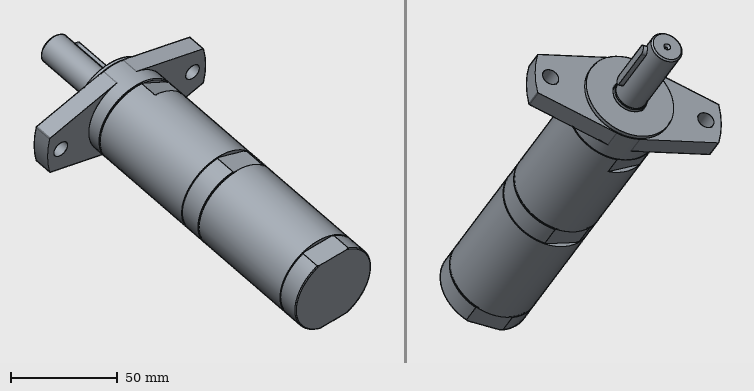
import cadquery as cq
import math


BODY_DIA = 46.0
BODY_RADIUS = BODY_DIA / 2
EDGE_CHAMFER = 0.5

SPIGOT_DIA = BODY_DIA - 2 * EDGE_CHAMFER
COVER_FRONT_X = 42.0
RECESS_DIA = 17.5
RECESS_DEPTH = 1.0
RECESS_END_X = COVER_FRONT_X + RECESS_DEPTH

COVER_END_X = 62.0
RING_START_X = 122.5
RING_END_X = 135.0
CAP_START_X = 195.0
TOTAL_LENGTH = 206.5

SHAFT_DIA = 16.0
SHAFT_CHAMFER = 0.8
SHOULDER_DIA = 16.95
SHOULDER_X = 40.3
SHOULDER_CHAMFER = 0.4
CENTER_DRILL_DIA = 1.6
CENTER_SINK_DIA = 3.35
CENTER_SINK_ANGLE = 60.0
CENTER_DRILL_DEPTH = 3.5

KEY_WIDTH = 5.0
KEY_LENGTH = 30.0
KEY_START_X = 5.0
KEY_TOP_Y = 10.0
KEY_HEIGHT = 5.0

FLANGE_X = 44.0
FLANGE_THICKNESS = 10.0
FLANGE_OUTER_RADIUS = 48.0
FLANGE_TAPER = math.radians(15.0)
FLANGE_CORNER_RADIUS = 0.5
BOLT_HOLE_DIA = 8.3
BOLT_HOLE_SPACING = 80.0

FLAT_WIDTH = 42.0
GEARBOX_FLAT_LENGTH = 10.0
GEARBOX_FLAT_END_X = COVER_END_X + GEARBOX_FLAT_LENGTH
GEARBOX_FLAT_TILT = 30.0
RING_FLAT_TILT = 20.0
CAP_FLAT_TILT = 0.0
CUTTER_DIA = 2 * BODY_DIA


def cylinder(start_x, end_x, diameter):
    """Solid cylinder on the X axis."""
    return cq.Workplane("YZ", origin=(start_x, 0, 0)).circle(diameter / 2).extrude(end_x - start_x)


def body_section(start_x, end_x, chamfered_ends):
    """Body section with its end edges on the selected faces chamfered."""
    return cylinder(start_x, end_x, BODY_DIA).faces(chamfered_ends).chamfer(EDGE_CHAMFER)


def flat_cutter(start_x, end_x, tilt):
    """Material outside a pair of parallel flats."""
    length = end_x - start_x
    slab = (
        cq.Workplane("YZ", origin=(start_x, 0, 0))
        .rect(CUTTER_DIA, FLAT_WIDTH)
        .extrude(length)
        .rotate((0, 0, 0), (1, 0, 0), -tilt)
    )
    return cylinder(start_x, end_x, CUTTER_DIA).cut(slab)


def make_flange():
    """Two-bolt flange: tapered sides tangent to the body, ends rounded about the axis.

    The short top and bottom sides between the tangent lines lie inside the front cover.
    """
    tangent_y = BODY_RADIUS * math.sin(FLANGE_TAPER)
    tangent_z = BODY_RADIUS * math.cos(FLANGE_TAPER)
    corner_angle = math.pi / 2 - FLANGE_TAPER - math.acos(BODY_RADIUS / FLANGE_OUTER_RADIUS)
    corner_y = FLANGE_OUTER_RADIUS * math.cos(corner_angle)
    corner_z = FLANGE_OUTER_RADIUS * math.sin(corner_angle)
    flange = (
        cq.Workplane("YZ", origin=(FLANGE_X, 0, 0))
        .moveTo(tangent_y, tangent_z)
        .lineTo(corner_y, corner_z)
        .threePointArc((FLANGE_OUTER_RADIUS, 0), (corner_y, -corner_z))
        .lineTo(tangent_y, -tangent_z)
        .lineTo(-tangent_y, -tangent_z)
        .lineTo(-corner_y, -corner_z)
        .threePointArc((-FLANGE_OUTER_RADIUS, 0), (-corner_y, corner_z))
        .lineTo(-tangent_y, tangent_z)
        .close()
        .extrude(FLANGE_THICKNESS)
    )
    outer_corners = flange.edges("|X").filter(lambda edge: abs(edge.Center().y) > BODY_RADIUS)
    flange = outer_corners.fillet(FLANGE_CORNER_RADIUS)
    holes = (
        cq.Workplane("YZ", origin=(FLANGE_X, 0, 0))
        .rarray(BOLT_HOLE_SPACING, 1, 2, 1)
        .circle(BOLT_HOLE_DIA / 2)
        .extrude(FLANGE_THICKNESS)
    )
    return flange.cut(holes)


def make_shaft():
    """Output shaft with shoulder and centre-drilled tip."""
    shaft = cylinder(0, RECESS_END_X, SHAFT_DIA).faces("<X").chamfer(SHAFT_CHAMFER)
    shoulder = cylinder(SHOULDER_X, RECESS_END_X, SHOULDER_DIA).faces("<X").chamfer(SHOULDER_CHAMFER)
    return (
        shaft.union(shoulder)
        .faces("<X")
        .workplane(origin=(0, 0, 0))
        .cskHole(CENTER_DRILL_DIA, CENTER_SINK_DIA, CENTER_SINK_ANGLE, CENTER_DRILL_DEPTH)
    )


def make_key():
    """Feather key with rounded ends."""
    return (
        cq.Workplane("XZ", origin=(KEY_START_X + KEY_LENGTH / 2, KEY_TOP_Y, 0))
        .slot2D(KEY_LENGTH, KEY_WIDTH)
        .extrude(KEY_HEIGHT)
    )


def make_front_cover():
    """Front cover with its spigot and flange; a shallow recess surrounds the shaft shoulder."""
    cover = body_section(FLANGE_X, COVER_END_X, ">X")
    spigot = cylinder(COVER_FRONT_X, FLANGE_X, SPIGOT_DIA)
    recess = cylinder(COVER_FRONT_X, RECESS_END_X, RECESS_DIA)
    return make_flange().union(cover).union(spigot.cut(recess))


def make_housing():
    """Gearbox, ring, motor housing and rear cap, with their flats."""
    gearbox = cylinder(COVER_END_X, RING_START_X, BODY_DIA)
    gearbox = gearbox.cut(flat_cutter(COVER_END_X, GEARBOX_FLAT_END_X, GEARBOX_FLAT_TILT))
    ring = body_section(RING_START_X, RING_END_X, "<X or >X")
    ring = ring.cut(flat_cutter(RING_START_X, RING_END_X, RING_FLAT_TILT))
    motor = cylinder(RING_END_X, CAP_START_X, BODY_DIA)
    cap = body_section(CAP_START_X, TOTAL_LENGTH, "<X or >X")
    cap = cap.cut(flat_cutter(CAP_START_X, TOTAL_LENGTH, CAP_FLAT_TILT))
    return gearbox.union(ring).union(motor).union(cap)


result = make_front_cover().union(make_housing()).union(make_shaft()).union(make_key())